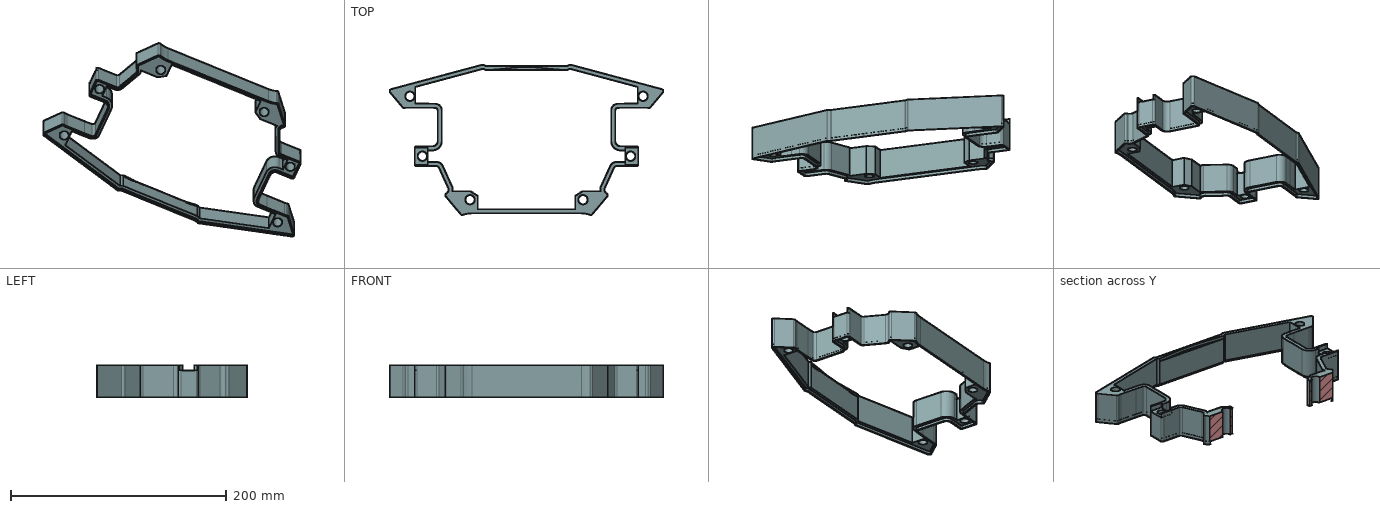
import cadquery as cq
import math

height = 30.0
wall = 4.0
lip = 1.2
corner_radius = 2.0
bend_radius = 2.5
hole_diameter = 8.5

rear_y = 68.5
front_y = -68.5

wing_angle = math.radians(15.0)
edge_angle = math.radians(50.0)
wing_tip = (-128.64, 46.19)
wing_peak_x = -40.7
wing_root_x = -37.6
wing_foot_y = 29.15
wing_foot_blend_x = -111.4
wing_foot_blend_radius = 12.0
wing_pad_x = -103.2
wing_inner_peak_x = -40.3
wing_inner_root_x = -37.4

slot_x = -82.5
slot_rear_y = 29.62
slot_bend_x = -92.7
slot_corner_y = 29.3
slot_front_radius = 5.0

ear_x = -103.95
ear_width = 18.5
ear_center_y = -15.35
ear_inner_x = -91.6
ear_pocket_depth = 4.75

slant_angle = math.radians(24.5)
slant_start_x = -82.0
slant_inner_end_y = -45.0

foot_tip = (-76.3, -51.2)
foot_neck_y = -47.6
foot_neck_radius = 4.0
foot_corner_y = -70.3
foot_blend_x = -54.8
foot_blend_radius = 25.0
foot_rear_y = -47.8
foot_chamfer_x = -52.0
foot_chamfer_y = -52.2
foot_inner_x = -45.1
foot_root_x = -69.0

recess_depth = 3.0
recess_flat_x = -8.0
recess_reach = 2.6

seat_depth = 3.0

hole_centers = [(-108.2, 40.3), (-96.7, ear_center_y), (-52.4, -55.75)]

ear_rear_y = ear_center_y + ear_width / 2
ear_front_y = ear_center_y - ear_width / 2
rear_inner_y = rear_y - wall
outer_bend_radius = bend_radius + wall


def wing_y(x, inset=0.0):
    """Y of the sloped wing face at x, moved inwards by inset."""
    tip_x, tip_y = wing_tip
    return tip_y + (x - tip_x) * math.tan(wing_angle) - inset / math.cos(wing_angle)


def slant_x(y, inset=0.0):
    """X of the slanted wall face at y, moved inwards by inset."""
    return slant_start_x + (ear_front_y - y) * math.tan(slant_angle) + inset / math.cos(slant_angle)


def edge_x(start, y):
    """X reached at height y along the steep outer edge that leaves start."""
    return start[0] + (start[1] - y) / math.tan(edge_angle)


def unit(start, end):
    """Unit direction from start to end."""
    length = math.dist(start, end)
    return (end[0] - start[0]) / length, (end[1] - start[1]) / length


def add_round(path, before, corner, after, radius):
    """Continue path to the corner and round it with a tangent arc."""
    back = unit(corner, before)
    ahead = unit(corner, after)
    half_angle = math.acos(back[0] * ahead[0] + back[1] * ahead[1]) / 2
    setback = radius / math.tan(half_angle)
    start = (corner[0] + back[0] * setback, corner[1] + back[1] * setback)
    end = (corner[0] + ahead[0] * setback, corner[1] + ahead[1] * setback)
    bisector = unit((0, 0), (back[0] + ahead[0], back[1] + ahead[1]))
    reach = radius / math.sin(half_angle) - radius
    middle = (corner[0] + bisector[0] * reach, corner[1] + bisector[1] * reach)
    return path.lineTo(*start).threePointArc(middle, end)


def prism(corners):
    """Extrude a closed outline of (x, y, corner radius); radius 0 keeps a corner sharp."""
    points = [(x, y) for x, y, radius in corners]
    path = cq.Workplane("XY").moveTo(*points[0])
    for i in range(1, len(corners)):
        radius = corners[i][2]
        if radius > 0:
            path = add_round(path, points[i - 1], points[i], points[(i + 1) % len(points)], radius)
        else:
            path = path.lineTo(*points[i])
    return path.close().extrude(height)


def outer_body():
    """Solid bounded by the outside of the frame."""
    return prism([
        (0, rear_y, 0),
        (wing_root_x, rear_y, corner_radius),
        (wing_peak_x, wing_y(wing_peak_x), corner_radius / 2),
        (*wing_tip, corner_radius),
        (edge_x(wing_tip, wing_foot_y), wing_foot_y, corner_radius),
        (wing_foot_blend_x, slot_rear_y, wing_foot_blend_radius),
        (slot_bend_x, slot_rear_y, 0),
        (slot_x, slot_corner_y, bend_radius),
        (slot_x, ear_rear_y, slot_front_radius),
        (ear_x, ear_rear_y, corner_radius),
        (ear_x, ear_front_y, corner_radius),
        (slant_start_x, ear_front_y, bend_radius),
        (slant_x(foot_neck_y), foot_neck_y, foot_neck_radius),
        (*foot_tip, corner_radius),
        (edge_x(foot_tip, foot_corner_y), foot_corner_y, corner_radius),
        (foot_blend_x, front_y, foot_blend_radius),
        (0, front_y, 0),
    ])


def inner_opening():
    """Solid that fills the opening of the frame."""
    return prism([
        (0, rear_inner_y, 0),
        (wing_inner_root_x, rear_inner_y, 0),
        (wing_inner_peak_x, wing_y(wing_inner_peak_x, wall), 0),
        (wing_pad_x, wing_y(wing_pad_x, wall), 0),
        (wing_pad_x, slot_rear_y + wall, 0),
        (slot_bend_x, slot_rear_y + wall, 0),
        (slot_x + wall, slot_corner_y + wall, outer_bend_radius),
        (slot_x + wall, ear_rear_y - wall, slot_front_radius + wall),
        (ear_inner_x, ear_rear_y - wall, 0),
        (ear_inner_x, ear_front_y + wall, 0),
        (slant_x(ear_front_y + wall, wall), ear_front_y + wall, outer_bend_radius),
        (slant_x(slant_inner_end_y, wall), slant_inner_end_y, corner_radius),
        (foot_root_x, foot_rear_y, 0),
        (foot_chamfer_x, foot_rear_y, 0),
        (foot_inner_x, foot_chamfer_y, 0),
        (foot_inner_x, front_y + wall, 0),
        (0, front_y + wall, 0),
    ])


def ear_pocket():
    """Pocket across the top of the ear, open outwards and leaving a thin lip on each side."""
    length = ear_inner_x - ear_x
    width = ear_width - 2 * lip
    pocket = cq.Workplane("XY").box(length, width, ear_pocket_depth, centered=(False, True, False))
    return pocket.translate((ear_x, ear_center_y, height - ear_pocket_depth))


def rear_recess():
    """Recess that deepens from the wing towards the middle of the rear wall."""
    return (
        cq.Workplane("XY", origin=(0, 0, height - recess_depth))
        .polyline([
            (0, rear_inner_y),
            (wing_inner_root_x, rear_inner_y),
            (recess_flat_x, rear_inner_y + recess_reach),
            (0, rear_inner_y + recess_reach),
        ])
        .close()
        .extrude(recess_depth)
    )


def screw_holes():
    """Through holes in the wing pad, the ear and the foot."""
    return cq.Workplane("XY").pushPoints(hole_centers).circle(hole_diameter / 2).extrude(height)


def both_sides(half):
    """Join a half shape with its mirror image."""
    return half.union(half.mirror("YZ")).clean()


def plate_seat(body):
    """Seat that follows the outside of body, inset by the lip."""
    return body.faces("<Z").wires().toPending().offset2D(-lip).extrude(seat_depth, combine=False)


body = both_sides(outer_body())
openings = both_sides(inner_opening().union(ear_pocket()).union(rear_recess()).union(screw_holes()))
result = body.cut(plate_seat(body)).cut(openings)